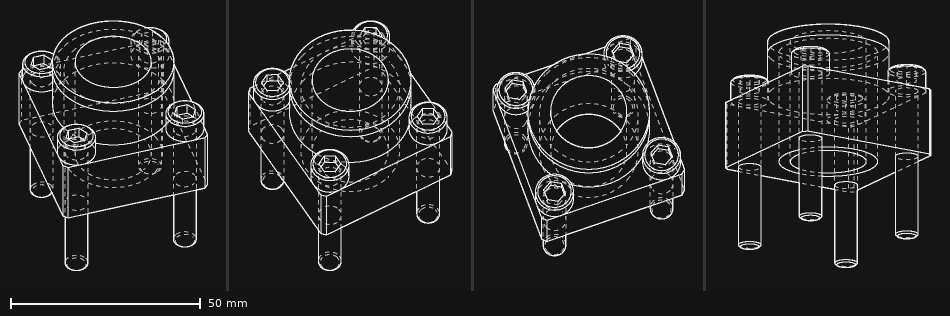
import cadquery as cq

block_side = 40.0
block_height = 18.0
block_corner_chamfer = 1.1
boss_diameter = 32.0
boss_height = 12.0
housing_height = block_height + boss_height

bushing_bore_diameter = 20.0
sleeve_diameter = 26.0
flange_diameter = boss_diameter
flange_thickness = 3.0

head_diameter = 10.0
head_height = 6.0
head_chamfer = 0.6
shank_diameter = 6.0
shank_protrusion = 22.0
shank_tip_chamfer = 0.5
socket_across_flats = 5.0
socket_depth = 3.0
screw_offset = (block_side - head_diameter) / 2
screw_positions = [(x * screw_offset, y * screw_offset) for x in (-1, 1) for y in (-1, 1)]


def make_housing():
    block = (
        cq.Workplane("XY")
        .rect(block_side, block_side)
        .extrude(block_height)
        .edges("|Z")
        .chamfer(block_corner_chamfer)
    )
    boss = cq.Workplane("XY").workplane(offset=block_height).circle(boss_diameter / 2).extrude(boss_height)
    sleeve_hole = cq.Workplane("XY").circle(sleeve_diameter / 2).extrude(housing_height)
    screw_holes = (
        cq.Workplane("XY")
        .pushPoints(screw_positions)
        .circle(shank_diameter / 2)
        .extrude(block_height)
    )
    return block.union(boss).cut(sleeve_hole).cut(screw_holes)


def make_bushing():
    sleeve = cq.Workplane("XY").circle(sleeve_diameter / 2).extrude(housing_height)
    flange = (
        cq.Workplane("XY")
        .workplane(offset=housing_height)
        .circle(flange_diameter / 2)
        .extrude(flange_thickness)
    )
    bore = cq.Workplane("XY").circle(bushing_bore_diameter / 2).extrude(housing_height + flange_thickness)
    return sleeve.union(flange).cut(bore)


def make_hex_socket():
    """Hexagonal recess with two flats facing along X, open at the top of the head."""
    return (
        cq.Workplane("XY")
        .workplane(offset=block_height + head_height)
        .polygon(6, socket_across_flats, circumscribed=True)
        .extrude(-socket_depth)
    )


def make_screw(x, y):
    head = (
        cq.Workplane("XY")
        .workplane(offset=block_height)
        .circle(head_diameter / 2)
        .extrude(head_height)
        .faces(">Z")
        .chamfer(head_chamfer)
    )
    shank = (
        cq.Workplane("XY")
        .workplane(offset=-shank_protrusion)
        .circle(shank_diameter / 2)
        .extrude(shank_protrusion + block_height)
        .faces("<Z")
        .chamfer(shank_tip_chamfer)
    )
    return head.union(shank).cut(make_hex_socket()).translate((x, y, 0))


housing = make_housing()
bushing = make_bushing()
screws = [make_screw(x, y) for x, y in screw_positions]

result = cq.Compound.makeCompound([housing.val(), bushing.val(), *[screw.val() for screw in screws]])